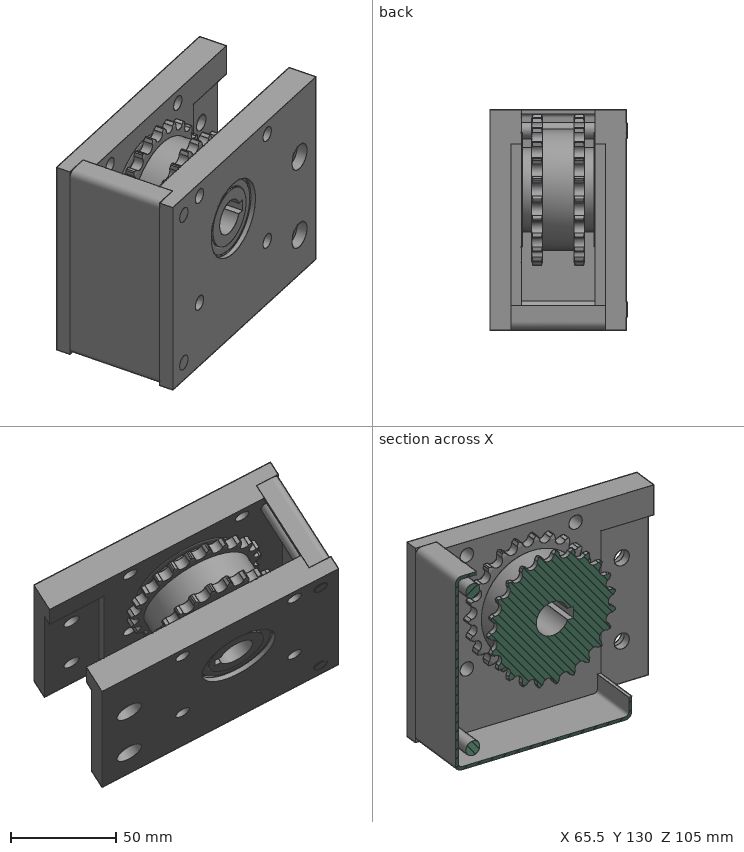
import cadquery as cq
import math


LENGTH = 130.0
HEIGHT = 105.0
WIDTH = 65.0
GAP = 35.0

COVER_WIDTH = 50.0
COVER_LENGTH = 100.0
SHEET = 2.0
INNER_BEND = 2.0
OUTER_BEND = INNER_BEND + SHEET
FLANGE = 12.0

RECESS_DEPTH = 5.0
RECESS_TOP = HEIGHT - 16.2

MOUNT_Y = 115.0
MOUNT_LOW_Z = 22.6
MOUNT_SPACING = 45.0
MOUNT_DIAMETER = 8.5
COUNTERBORE_DIAMETER = 13.5
COUNTERBORE_DEPTH = 5.5
BOLT_SQUARE = 61.5
BOLT_HOLE_DIAMETER = 7.5

PIN_DIAMETER = 8.0
PIN_END_DIAMETER = 7.5
PIN_INSET = 10.0
PIN_PROTRUSION = 0.5
PIN_CHAMFER = 0.4

AXLE_Y = 55.0
AXLE_Z = 67.0
BEARING_OUTER = 55.0
BEARING_BORE = 30.0
BEARING_WIDTH = 13.0
BEARING_PROUD = 0.5
RING_EDGE_FILLET = 0.98
RACE_GROOVE_INNER = 38.0
RACE_GROOVE_OUTER = 47.0
RACE_GROOVE_DEPTH = 3.9
PLATE_OPENING = 40.0
BEARING_INNER_X = GAP / 2 - BEARING_PROUD
BEARING_OUTER_X = BEARING_INNER_X + BEARING_WIDTH
SHAFT_PROUD = 0.4
SHAFT_END_X = BEARING_OUTER_X + SHAFT_PROUD

HUB_DIAMETER = 40.0
DRUM_DIAMETER = 58.0
TOOTH_ROW_WIDTH = 5.2
TOOTH_ROW_OFFSET = 10.0
SHAFT_BORE = 18.0
KEY_WIDTH = 6.0
KEY_REACH = 11.8
TEETH = 23
CHAIN_PITCH = 9.5
SEAT_RADIUS = 3.1
SEAT_HALF_ARC = math.radians(82)
TIP_RADIUS = 36.0
TIP_HALF_WIDTH = 0.4
TIP_BEVEL = 0.5
TIP_BEVEL_START = 33.8
PITCH_RADIUS = CHAIN_PITCH / (2 * math.sin(math.pi / TEETH))


def block(x_range, y_range, z_range):
    """Box between the given coordinate limits."""
    (x0, x1), (y0, y1), (z0, z1) = x_range, y_range, z_range
    return cq.Workplane("XY").box(x1 - x0, y1 - y0, z1 - z0, centered=False).translate((x0, y0, z0))


def rod(diameter, x0, x1, y, z):
    """Round bar along X from x0 to x1."""
    return cq.Workplane("YZ", origin=(x0, y, z)).circle(diameter / 2).extrude(x1 - x0)


def axle_rod(diameter, x0, x1):
    """Round bar on the wheel axis."""
    return rod(diameter, x0, x1, AXLE_Y, AXLE_Z)


def cover_sheet(outer_bend):
    """Front wall, short top flange, floor and short rear lip, with the given outer bend radius."""
    half = COVER_WIDTH / 2
    outside = block((-half, half), (0, COVER_LENGTH), (0, HEIGHT))
    if outer_bend > 0:
        outside = outside.edges("|X").fillet(outer_bend)
    inside = block((-half, half), (SHEET, COVER_LENGTH - SHEET), (SHEET, HEIGHT - SHEET))
    inside = inside.edges("|X").fillet(INNER_BEND)
    opening = block((-half, half), (FLANGE, COVER_LENGTH), (FLANGE, HEIGHT))
    return outside.cut(inside).cut(opening)


def pin_places():
    """Y and Z of the two pins, near the front corners."""
    return [(PIN_INSET, PIN_INSET), (PIN_INSET, HEIGHT - PIN_INSET)]


def right_plate():
    """Side plate on the +X side, with its bearing seat, recess, sheet slot and holes."""
    inner = GAP / 2
    outer = WIDTH / 2
    plate = block((inner, outer), (0, LENGTH), (0, HEIGHT))

    plate = plate.cut(cover_sheet(0))
    plate = plate.cut(block((inner, inner + RECESS_DEPTH), (COVER_LENGTH, LENGTH), (0, RECESS_TOP)))

    plate = plate.cut(axle_rod(BEARING_OUTER, inner, BEARING_OUTER_X))
    plate = plate.cut(axle_rod(PLATE_OPENING, inner, outer))

    for z in (MOUNT_LOW_Z, MOUNT_LOW_Z + MOUNT_SPACING):
        plate = plate.cut(rod(MOUNT_DIAMETER, inner, outer, MOUNT_Y, z))
        plate = plate.cut(rod(COUNTERBORE_DIAMETER, outer - COUNTERBORE_DEPTH, outer, MOUNT_Y, z))

    for dy in (-BOLT_SQUARE / 2, BOLT_SQUARE / 2):
        for dz in (-BOLT_SQUARE / 2, BOLT_SQUARE / 2):
            plate = plate.cut(rod(BOLT_HOLE_DIAMETER, inner, outer, AXLE_Y + dy, AXLE_Z + dz))

    for y, z in pin_places():
        plate = plate.cut(rod(PIN_END_DIAMETER, inner, outer, y, z))
    return plate


def pin(y, z):
    """Cross pin: thicker between the plates, flush at +X, proud with a bevelled end at -X."""
    ends = rod(PIN_END_DIAMETER, -WIDTH / 2 - PIN_PROTRUSION, WIDTH / 2, y, z)
    ends = ends.faces("<X").chamfer(PIN_CHAMFER)
    return ends.union(rod(PIN_DIAMETER, -GAP / 2, GAP / 2, y, z))


def right_bearing():
    """Bearing on the +X side, with a groove between its rings on each face."""
    bearing = axle_rod(BEARING_OUTER, BEARING_INNER_X, BEARING_OUTER_X)
    bearing = bearing.cut(axle_rod(BEARING_BORE, BEARING_INNER_X, BEARING_OUTER_X))
    bearing = bearing.edges("%CIRCLE").fillet(RING_EDGE_FILLET)
    for x in (BEARING_INNER_X, BEARING_OUTER_X - RACE_GROOVE_DEPTH):
        groove = axle_rod(RACE_GROOVE_OUTER, x, x + RACE_GROOVE_DEPTH)
        bearing = bearing.cut(groove.cut(axle_rod(RACE_GROOVE_INNER, x, x + RACE_GROOVE_DEPTH)))
    return bearing


def tooth_row(x):
    """Sprocket ring centred at x: round chain seats, straight flanks and bevelled tips."""

    def polar(radius, angle):
        return (radius * math.cos(angle), radius * math.sin(angle))

    step = 2 * math.pi / TEETH
    seat_end_depth = PITCH_RADIUS - SEAT_RADIUS * math.cos(SEAT_HALF_ARC)
    seat_half_width = SEAT_RADIUS * math.sin(SEAT_HALF_ARC)
    seat_end_radius = math.hypot(seat_end_depth, seat_half_width)
    seat_end_angle = math.atan2(seat_half_width, seat_end_depth)
    tip_angle = TIP_HALF_WIDTH / TIP_RADIUS

    outline = cq.Workplane("YZ", origin=(x - TOOTH_ROW_WIDTH / 2, AXLE_Y, AXLE_Z))
    outline = outline.moveTo(*polar(seat_end_radius, -seat_end_angle))
    for tooth in range(TEETH):
        seat = tooth * step
        tip = seat + step / 2
        outline = outline.threePointArc(
            polar(PITCH_RADIUS - SEAT_RADIUS, seat), polar(seat_end_radius, seat + seat_end_angle)
        )
        outline = outline.lineTo(*polar(TIP_RADIUS, tip - tip_angle))
        outline = outline.threePointArc(polar(TIP_RADIUS, tip), polar(TIP_RADIUS, tip + tip_angle))
        outline = outline.lineTo(*polar(seat_end_radius, seat + step - seat_end_angle))
    ring = outline.close().extrude(TOOTH_ROW_WIDTH)

    half = TOOTH_ROW_WIDTH / 2
    blank = (
        cq.Workplane("XY", origin=(x, AXLE_Y, AXLE_Z))
        .polyline(
            [
                (-half, 0),
                (half, 0),
                (half, TIP_BEVEL_START),
                (half - TIP_BEVEL, TIP_RADIUS),
                (TIP_BEVEL - half, TIP_RADIUS),
                (-half, TIP_BEVEL_START),
            ]
        )
        .close()
        .revolve(360, (0, 0, 0), (1, 0, 0))
    )
    return ring.intersect(blank)


def chain_wheel():
    """Shaft, hub, drum and two tooth rows in one piece, with a keyed through bore."""
    wheel = axle_rod(BEARING_BORE, -SHAFT_END_X, SHAFT_END_X)
    wheel = wheel.union(axle_rod(HUB_DIAMETER, -BEARING_INNER_X, BEARING_INNER_X))
    wheel = wheel.union(axle_rod(DRUM_DIAMETER, -TOOTH_ROW_OFFSET, TOOTH_ROW_OFFSET))
    for x in (-TOOTH_ROW_OFFSET, TOOTH_ROW_OFFSET):
        wheel = wheel.union(tooth_row(x))
    wheel = wheel.cut(axle_rod(SHAFT_BORE, -SHAFT_END_X, SHAFT_END_X))
    keyway = block(
        (-SHAFT_END_X, SHAFT_END_X),
        (AXLE_Y, AXLE_Y + KEY_REACH),
        (AXLE_Z - KEY_WIDTH / 2, AXLE_Z + KEY_WIDTH / 2),
    )
    return wheel.cut(keyway)


def with_mirror(body):
    """The +X body and its mirror image on the -X side."""
    return [body.val(), body.mirror("YZ").val()]


plates = with_mirror(right_plate())
bearings = with_mirror(right_bearing())
cover = cover_sheet(OUTER_BEND)
wheel = chain_wheel()
pins = [pin(y, z).val() for y, z in pin_places()]

result = cq.Compound.makeCompound([*plates, cover.val(), *pins, *bearings, wheel.val()])